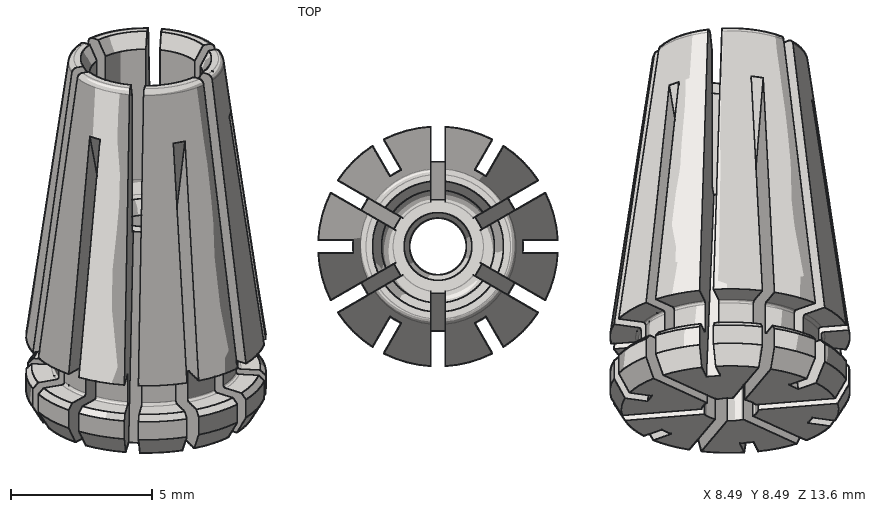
import cadquery as cq
import math

total_height = 13.6
max_radius = 8.5 / 2

flange_top_z = 1.6
flange_base_chamfer_height = 0.7
flange_base_chamfer_angle = 30.0
flange_top_chamfer = 0.2
neck_radius = 3.25
neck_fillet = 0.1

cone_base_z = 2.8
cone_half_angle = 8.0
nose_fillet = 0.2

hole_radius = 1.0
hole_mouth_radius = 1.2
hole_mouth_height = 0.55
bore_radius = 2.0
bore_floor_z = 7.6
bore_floor_fillet = 0.4
bore_mouth_chamfer_radius = 2.32
bore_mouth_chamfer_height = 0.55

slots_per_set = 6
top_slot_width = 0.5
bottom_slot_width = 0.45
slot_outer_radius = max_radius + 1.0
slot_overrun = 1.0
top_slot_first_angle = 30.0
bottom_slot_first_angle = 0.0
slot_run_out_radius = 3.0
top_slot_inner_radius = 1.66
bottom_slot_end_z = 11.6
bottom_slot_inner_radius = 0.9
bottom_slot_inner_z = 3.25


def make_outer_body():
    """Solid of revolution: flange, neck and tapered body."""
    base_inset = flange_base_chamfer_height * math.tan(math.radians(flange_base_chamfer_angle))
    base_radius = max_radius - base_inset
    taper_height = total_height - cone_base_z
    nose_radius = max_radius - taper_height * math.tan(math.radians(cone_half_angle))
    body = (
        cq.Workplane("XZ")
        .moveTo(0, 0)
        .lineTo(base_radius, 0)
        .lineTo(max_radius, flange_base_chamfer_height)
        .lineTo(max_radius, flange_top_z - flange_top_chamfer)
        .lineTo(max_radius - flange_top_chamfer, flange_top_z)
        .lineTo(neck_radius, flange_top_z)
        .lineTo(neck_radius, cone_base_z)
        .lineTo(max_radius, cone_base_z)
        .lineTo(nose_radius, total_height)
        .lineTo(0, total_height)
        .close()
        .revolve(360, (0, 0, 0), (0, 1, 0))
    )
    body = body.faces(">Z").edges().fillet(nose_fillet)
    neck_reach = neck_radius + neck_fillet
    neck_corners = cq.selectors.BoxSelector(
        (-neck_reach, -neck_reach, flange_top_z - neck_fillet),
        (neck_reach, neck_reach, cone_base_z + neck_fillet),
        boundingbox=True,
    )
    return body.edges("%CIRCLE").edges(neck_corners).fillet(neck_fillet)


def make_bore():
    """Through hole, rounded-floor bore and tapered bore mouth, as one cutter."""
    floor_edge_radius = bore_radius - bore_floor_fillet
    wall_start_z = bore_floor_z + bore_floor_fillet
    fillet_diagonal = bore_floor_fillet * math.sqrt(0.5)
    return (
        cq.Workplane("XZ")
        .moveTo(0, 0)
        .lineTo(hole_radius, 0)
        .lineTo(hole_radius, bore_floor_z - hole_mouth_height)
        .lineTo(hole_mouth_radius, bore_floor_z)
        .lineTo(floor_edge_radius, bore_floor_z)
        .threePointArc(
            (floor_edge_radius + fillet_diagonal, wall_start_z - fillet_diagonal),
            (bore_radius, wall_start_z),
        )
        .lineTo(bore_radius, total_height - bore_mouth_chamfer_height)
        .lineTo(bore_mouth_chamfer_radius, total_height)
        .lineTo(0, total_height)
        .close()
        .revolve(360, (0, 0, 0), (0, 1, 0))
    )


def make_slot_set(profile, width, first_angle):
    """Extrude a radial slot profile to the slot width and repeat it around Z."""
    slot = cq.Workplane("XZ").polyline(profile).close().extrude(width / 2, both=True)
    pitch_angle = 360.0 / slots_per_set
    axis_start = (0, 0, 0)
    axis_end = (0, 0, 1)
    slots = slot.rotate(axis_start, axis_end, first_angle)
    for index in range(1, slots_per_set):
        slots = slots.union(slot.rotate(axis_start, axis_end, first_angle + index * pitch_angle))
    return slots


def make_top_slots():
    """Slots open at the small end; below the bore their floor slopes outward to the base."""
    profile = [
        (0, total_height + slot_overrun),
        (0, bore_floor_z),
        (top_slot_inner_radius, bore_floor_z),
        (slot_run_out_radius, 0),
        (slot_outer_radius, 0),
        (slot_outer_radius, total_height + slot_overrun),
    ]
    return make_slot_set(profile, top_slot_width, top_slot_first_angle)


def make_bottom_slots():
    """Slots open at the large end; their floor slopes from the taper surface in to the hole."""
    profile = [
        (bottom_slot_inner_radius, 0),
        (bottom_slot_inner_radius, bottom_slot_inner_z),
        (slot_run_out_radius, bottom_slot_end_z),
        (slot_outer_radius, bottom_slot_end_z),
        (slot_outer_radius, 0),
    ]
    return make_slot_set(profile, bottom_slot_width, bottom_slot_first_angle)


result = make_outer_body().cut(make_bore()).cut(make_top_slots()).cut(make_bottom_slots())